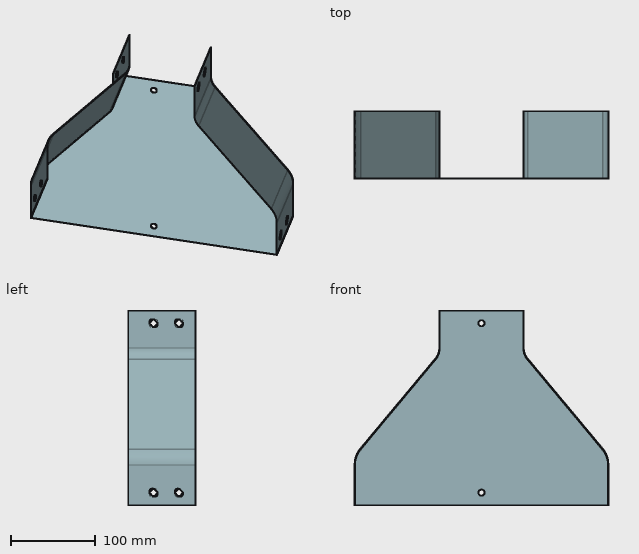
import cadquery as cq
import math

WIDE_WIDTH = 300.0
NARROW_WIDTH = 100.0
HEIGHT = 230.0
DEPTH = 80.0
SHEET = 0.8

TOP_LEG = 44.2
TOP_BEND_RADIUS = 20.0
BOTTOM_BEND_RADIUS = 30.0
SLOPE_RISE = 120.0
SLOPE_RUN = (WIDE_WIDTH - NARROW_WIDTH) / 2
SLOPE_ANGLE = math.atan2(SLOPE_RUN, SLOPE_RISE)

HOLE_DIAMETER = 7.0
HOLE_END_DISTANCE = 15.0
SLOT_WIDTH = 7.0
SLOT_LENGTH = 11.0
SLOT_TILT = 45.0
SLOT_DEPTHS = (20.0, 50.0)

LOW_HOLE_Z = HOLE_END_DISTANCE
HIGH_HOLE_Z = HEIGHT - HOLE_END_DISTANCE


def bend_point(leg_end, radius, z_direction, angle):
    """Point on a bend that leaves a vertical leg and has turned by angle.

    z_direction is -1 for the top bend, which turns down and outward,
    and +1 for the bottom bend, which turns up and inward.
    """
    x, z = leg_end
    sideways = radius * (1 - math.cos(angle))
    return (x - z_direction * sideways, z + z_direction * radius * math.sin(angle))


def outline_block(inset):
    """Full-depth solid of the front outline, with its side edges moved in by inset."""
    top_radius = TOP_BEND_RADIUS + inset
    bottom_radius = BOTTOM_BEND_RADIUS - inset

    bend_corner_length = math.tan(SLOPE_ANGLE / 2) * (TOP_BEND_RADIUS + BOTTOM_BEND_RADIUS)
    top_leg_end = (NARROW_WIDTH / 2 - inset, HEIGHT - TOP_LEG)
    bottom_leg_end = (WIDE_WIDTH / 2 - inset, HEIGHT - TOP_LEG - SLOPE_RISE - bend_corner_length)

    top_mid = bend_point(top_leg_end, top_radius, -1, SLOPE_ANGLE / 2)
    slope_top = bend_point(top_leg_end, top_radius, -1, SLOPE_ANGLE)
    bottom_mid = bend_point(bottom_leg_end, bottom_radius, 1, SLOPE_ANGLE / 2)
    slope_bottom = bend_point(bottom_leg_end, bottom_radius, 1, SLOPE_ANGLE)

    half = (
        cq.Workplane("XZ")
        .moveTo(0, HEIGHT)
        .lineTo(top_leg_end[0], HEIGHT)
        .lineTo(*top_leg_end)
        .threePointArc(top_mid, slope_top)
        .lineTo(*slope_bottom)
        .threePointArc(bottom_mid, bottom_leg_end)
        .lineTo(bottom_leg_end[0], 0)
        .lineTo(0, 0)
        .close()
        .extrude(-DEPTH)
    )
    return half.union(half.mirror("YZ")).clean()


def folded_sheet():
    """Front plate with two side walls, open at the top, bottom and back."""
    inside = outline_block(SHEET).translate((0, SHEET, 0))
    return outline_block(0).cut(inside)


def front_holes():
    """Round holes through the front plate, on the centre line."""
    return (
        cq.Workplane("XZ")
        .pushPoints([(0, LOW_HOLE_Z), (0, HIGH_HOLE_Z)])
        .circle(HOLE_DIAMETER / 2)
        .extrude(-SHEET)
    )


def wall_slots(side, wall_x, height):
    """Tilted slots through the side wall at wall_x; side is +1 or -1 along X."""
    return (
        cq.Workplane("YZ")
        .pushPoints([(y, height) for y in SLOT_DEPTHS])
        .slot2D(SLOT_LENGTH, SLOT_WIDTH, -side * SLOT_TILT)
        .extrude(side * wall_x)
    )


result = folded_sheet().cut(front_holes())
for side in (-1, 1):
    result = result.cut(wall_slots(side, WIDE_WIDTH / 2, LOW_HOLE_Z))
    result = result.cut(wall_slots(side, NARROW_WIDTH / 2, HIGH_HOLE_Z))